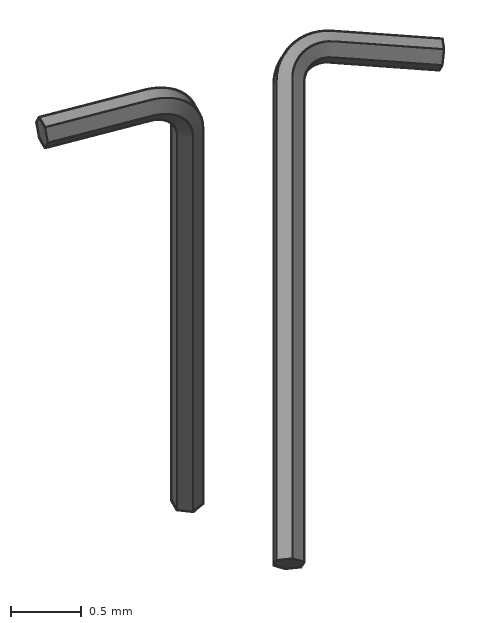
import cadquery as cq
import math

height = 4.0
reach = 1.2
across_flats = 0.2
inner_bend_radius = 0.2

across_corners = across_flats / math.cos(math.radians(30))
bend_radius = inner_bend_radius + across_flats / 2
long_leg_straight = height - across_flats / 2 - bend_radius
short_leg_straight = reach - across_flats / 2 - bend_radius
bend_offset = bend_radius * math.sin(math.radians(45))

centreline = (
    cq.Workplane("YZ")
    .lineTo(0, long_leg_straight)
    .threePointArc(
        (bend_offset - bend_radius, long_leg_straight + bend_offset),
        (-bend_radius, long_leg_straight + bend_radius),
    )
    .line(-short_leg_straight, 0)
)

result = cq.Workplane("XY").polygon(6, across_corners).sweep(centreline)